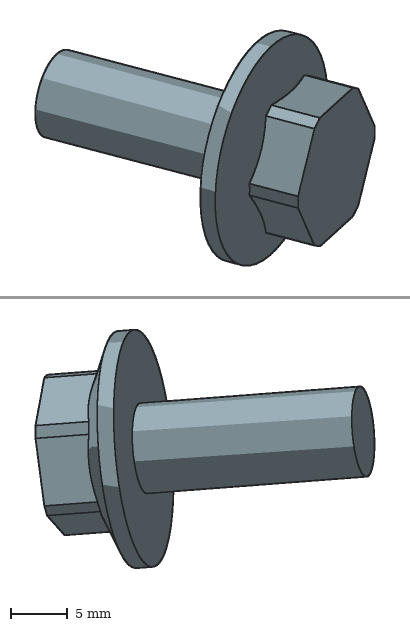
import cadquery as cq
import math

shank_diameter = 8.0
shank_length = 20.0

flange_diameter = 21.0
flange_rim_thickness = 1.5
flange_slope_angle = 26.3

across_flats = 13.0
across_flattened_corners = 14.33
head_height = 8.0

shank_radius = shank_diameter / 2
flange_radius = flange_diameter / 2

cone_top_radius = shank_radius
cone_height = (flange_radius - cone_top_radius) * math.tan(math.radians(flange_slope_angle))


def make_shank():
    """Plain cylinder centred on the X axis."""
    return cq.Workplane("YZ").circle(shank_radius).extrude(shank_length)


def make_flange():
    """Disc with a cylindrical rim and a conical face sloping up to the hex."""
    rim_end = shank_length + flange_rim_thickness
    cone_end = rim_end + cone_height
    profile = (
        cq.Workplane("XY")
        .moveTo(shank_length, 0)
        .lineTo(shank_length, flange_radius)
        .lineTo(rim_end, flange_radius)
        .lineTo(cone_end, cone_top_radius)
        .lineTo(cone_end, 0)
        .close()
    )
    return profile.revolve(360, (0, 0, 0), (1, 0, 0))


def hex_prism(width_across_flats):
    """Hex prism as long as the head, with two opposite corners on the Y direction."""
    across_corners = width_across_flats / math.cos(math.pi / 6)
    return (
        cq.Workplane("YZ", origin=(shank_length, 0, 0))
        .polygon(6, across_corners)
        .extrude(head_height)
    )


def make_hex_head():
    """Hex prism whose corners are cut flat by a larger hex turned by 30 degrees."""
    half_pitch_angle = 30
    corner_cutter = hex_prism(across_flattened_corners).rotate((0, 0, 0), (1, 0, 0), half_pitch_angle)
    return hex_prism(across_flats).intersect(corner_cutter)


result = make_shank().union(make_flange()).union(make_hex_head())